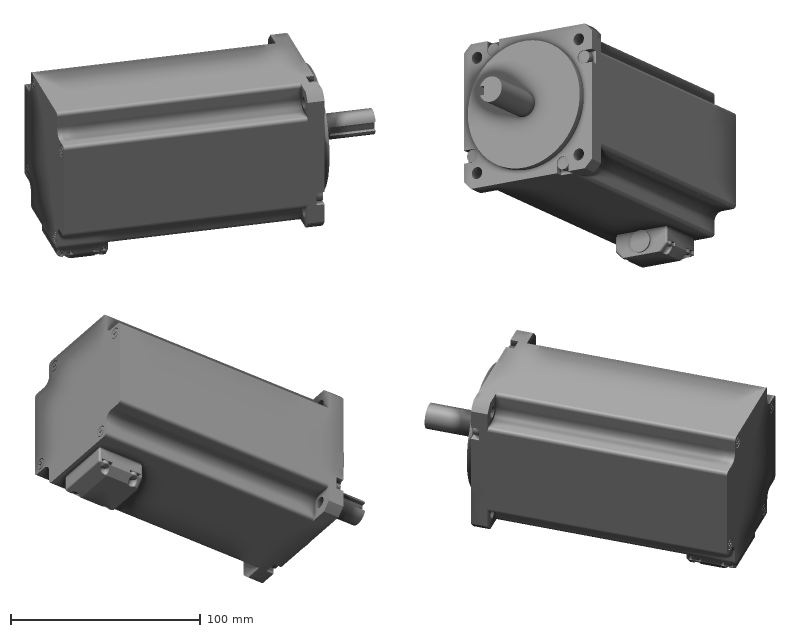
import cadquery as cq
import math


SHAFT_DIAMETER = 14.0
SHAFT_TIP_Y = 37.0
BOSS_DIAMETER = 70.0
BOSS_HEIGHT = 4.0
KEYWAY_LENGTH = 25.0
KEYWAY_WIDTH = 5.0
KEYWAY_DEPTH = 3.0

SIDE = 80.0
HALF_SIDE = SIDE / 2
FLANGE_THICKNESS = 9.3
FLANGE_CORNER_DIAMETER = 107.0
MOUNT_CIRCLE = 90.0
MOUNT_HOLE = 6.5

MOTOR_LENGTH = 143.0
COVER_LENGTH = 32.0
END_PLATE = 3.0
NOTCH = 13.5
NOTCH_RADIUS = 5.0
EDGE_RADIUS = 2.0

SCREW_CIRCLE_RADIUS = 41.0
REAR_SCREW_ANGLE = 32.0
FLANGE_SCREW_ANGLE = 90.0 - REAR_SCREW_ANGLE
FLANGE_SLOT_WIDTH = 7.2
FLANGE_SLOT_RUN = 20.0
FLANGE_SLOT_DEPTH = 4.4
FLANGE_HEAD_DIAMETER = 7.0
FLANGE_HEAD_HEIGHT = 4.0
REAR_RECESS_DIAMETER = 6.5
REAR_HEAD_DIAMETER = 5.5
REAR_HEAD_HEIGHT = 2.0
CROSS_LENGTH = 3.4
CROSS_WIDTH = 0.8
CROSS_DEPTH = 1.2

GASKET_HEIGHT = 1.2
GASKET_INSET = 0.5
CONNECTOR_WIDTH = 32.4
CONNECTOR_BOTTOM_Z = -53.5
CONNECTOR_SIDE_BOTTOM_Z = -49.3
CONNECTOR_EDGE_RADIUS = 1.1
REAR_SLOPE_RUN = 7.5
GLAND_DIAMETER = 12.0
GLAND_LENGTH = 1.1
GLAND_CLEARANCE = 0.2
CONNECTOR_SCREW_X = 13.6
CONNECTOR_SCREW_PITCH = 18.0
CONNECTOR_SCREW_FROM_REAR = 5.1
CONNECTOR_HEAD_DIAMETER = 4.8
CONNECTOR_BORE_DIAMETER = 5.0
CONNECTOR_SLOT_WIDTH = 7.0
CONNECTOR_SLOT_RUN = 8.0
CONNECTOR_SLOT_TOP_Z = -47.2

REAR_Y = -MOTOR_LENGTH
COVER_FRONT_Y = REAR_Y + COVER_LENGTH
PLATE_FRONT_Y = REAR_Y + END_PLATE


def across(y):
    """Workplane across the axis at y: local axes are X and Z, positive extrusions run toward -Y."""
    return cq.Workplane("XZ", origin=(0, y, 0))


def around_circle(first_angle):
    """Four (angle, x, z) places on the screw circle."""
    for step in range(4):
        angle = first_angle + 90 * step
        x = SCREW_CIRCLE_RADIUS * math.cos(math.radians(angle))
        z = SCREW_CIRCLE_RADIUS * math.sin(math.radians(angle))
        yield angle, x, z


def notched_bar(front_y, rear_y):
    """Square bar with a rounded rectangular notch along each corner."""
    length = front_y - rear_y
    bar = across(front_y).rect(SIDE, SIDE).extrude(length)
    corners = across(front_y).rect(SIDE, SIDE, forConstruction=True).vertices()
    bar = bar.cut(corners.rect(2 * NOTCH, 2 * NOTCH).extrude(length))
    core = HALF_SIDE - NOTCH / 2
    inner_edges = cq.selectors.BoxSelector((-core, rear_y, -core), (core, front_y, core))
    bar = bar.edges("|Y").edges(inner_edges).fillet(NOTCH_RADIUS)
    return bar.edges("|Y").edges(-inner_edges).fillet(EDGE_RADIUS)


def make_shaft():
    """Output shaft with a keyway, open at the tip, on its +X side."""
    shaft = across(SHAFT_TIP_Y).circle(SHAFT_DIAMETER / 2).extrude(SHAFT_TIP_Y)
    keyway = (
        across(SHAFT_TIP_Y)
        .center(SHAFT_DIAMETER / 2, 0)
        .rect(2 * KEYWAY_DEPTH, KEYWAY_WIDTH)
        .extrude(KEYWAY_LENGTH)
    )
    return shaft.cut(keyway)


def make_flange():
    """Square flange with rounded corners, mounting holes and four sunk cap screws."""
    flange = across(0).rect(SIDE, SIDE).extrude(FLANGE_THICKNESS)
    flange = flange.intersect(across(0).circle(FLANGE_CORNER_DIAMETER / 2).extrude(FLANGE_THICKNESS))
    holes = across(0).polarArray(MOUNT_CIRCLE / 2, 45, 360, 4).circle(MOUNT_HOLE / 2)
    flange = flange.cut(holes.extrude(FLANGE_THICKNESS))
    for angle, x, z in around_circle(FLANGE_SCREW_ANGLE):
        outward = angle - FLANGE_SCREW_ANGLE + 90
        middle_x = x + FLANGE_SLOT_RUN / 2 * math.cos(math.radians(outward))
        middle_z = z + FLANGE_SLOT_RUN / 2 * math.sin(math.radians(outward))
        slot = (
            across(0)
            .center(middle_x, middle_z)
            .slot2D(FLANGE_SLOT_RUN + FLANGE_SLOT_WIDTH, FLANGE_SLOT_WIDTH, outward)
            .extrude(FLANGE_SLOT_DEPTH)
        )
        head = (
            across(-FLANGE_SLOT_DEPTH + FLANGE_HEAD_HEIGHT)
            .center(x, z)
            .circle(FLANGE_HEAD_DIAMETER / 2)
            .extrude(FLANGE_HEAD_HEIGHT)
        )
        flange = flange.cut(slot).union(head)
    return flange


def make_motor():
    """Shaft, pilot boss, flange and body in one solid."""
    boss = across(BOSS_HEIGHT).circle(BOSS_DIAMETER / 2).extrude(BOSS_HEIGHT)
    body = notched_bar(-FLANGE_THICKNESS, COVER_FRONT_Y)
    return make_flange().union(boss).union(make_shaft()).union(body, clean=False)


def make_cover():
    """Rear cover with its end plate and four cross-head screws sunk flush."""
    housing = notched_bar(COVER_FRONT_Y, PLATE_FRONT_Y)
    plate = notched_bar(PLATE_FRONT_Y, REAR_Y)
    for _, x, z in around_circle(REAR_SCREW_ANGLE):
        gap = (
            across(REAR_Y + REAR_HEAD_HEIGHT)
            .center(x, z)
            .circle(REAR_RECESS_DIAMETER / 2)
            .circle(REAR_HEAD_DIAMETER / 2)
            .extrude(REAR_HEAD_HEIGHT)
        )
        cross = across(REAR_Y + CROSS_DEPTH).center(x, z)
        across_arm = cross.rect(CROSS_LENGTH, CROSS_WIDTH).extrude(CROSS_DEPTH)
        upright_arm = cross.rect(CROSS_WIDTH, CROSS_LENGTH).extrude(CROSS_DEPTH)
        plate = plate.cut(gap).cut(across_arm).cut(upright_arm)
    return housing.union(plate, clean=False)


def make_connector():
    """Connector shell with sloped lower sides, a gasket on top and a round gland in front."""
    gland_face_y = COVER_FRONT_Y
    front_y = gland_face_y - GLAND_LENGTH
    rear_y = PLATE_FRONT_Y
    length = front_y - rear_y
    top_z = -HALF_SIDE - GASKET_HEIGHT
    half_width = CONNECTOR_WIDTH / 2
    lid_height = CONNECTOR_SIDE_BOTTOM_Z - CONNECTOR_BOTTOM_Z

    half_bottom = half_width - lid_height
    shell = (
        across(front_y)
        .polyline([
            (-half_width, top_z),
            (half_width, top_z),
            (half_width, CONNECTOR_SIDE_BOTTOM_Z),
            (half_bottom, CONNECTOR_BOTTOM_Z),
            (-half_bottom, CONNECTOR_BOTTOM_Z),
            (-half_width, CONNECTOR_SIDE_BOTTOM_Z),
        ])
        .close()
        .extrude(length)
    )
    rear_slope = (
        cq.Workplane("YZ")
        .polyline([
            (rear_y, CONNECTOR_SIDE_BOTTOM_Z),
            (rear_y + REAR_SLOPE_RUN, CONNECTOR_BOTTOM_Z),
            (rear_y, CONNECTOR_BOTTOM_Z),
        ])
        .close()
        .extrude(half_width, both=True)
    )
    shell = shell.cut(rear_slope)
    shell = shell.edges("not(#Z and (>Z or <Z))").fillet(CONNECTOR_EDGE_RADIUS)

    slot_height = CONNECTOR_SLOT_TOP_Z - CONNECTOR_SIDE_BOTTOM_Z
    rear_screw_y = rear_y + CONNECTOR_SCREW_FROM_REAR
    for side in (-1, 1):
        for screw_y in (rear_screw_y, rear_screw_y + CONNECTOR_SCREW_PITCH):
            place = cq.Workplane(origin=(side * CONNECTOR_SCREW_X, screw_y, CONNECTOR_SIDE_BOTTOM_Z))
            bore = place.circle(CONNECTOR_BORE_DIAMETER / 2).extrude(-lid_height)
            slot = (
                place.center(side * CONNECTOR_SLOT_RUN / 2, 0)
                .slot2D(CONNECTOR_SLOT_RUN + CONNECTOR_SLOT_WIDTH, CONNECTOR_SLOT_WIDTH)
                .extrude(slot_height)
            )
            head = place.circle(CONNECTOR_HEAD_DIAMETER / 2).extrude(slot_height)
            shell = shell.cut(slot.cut(head)).cut(bore)

    gasket = (
        across(front_y - GASKET_INSET)
        .center(0, -HALF_SIDE - GASKET_HEIGHT / 2)
        .rect(CONNECTOR_WIDTH - 2 * GASKET_INSET, GASKET_HEIGHT)
        .extrude(length - 2 * GASKET_INSET)
        .edges("|Z")
        .fillet(CONNECTOR_EDGE_RADIUS - GASKET_INSET)
    )
    gland_z = -HALF_SIDE - GLAND_DIAMETER / 2 - GLAND_CLEARANCE
    gland = across(gland_face_y).center(0, gland_z).circle(GLAND_DIAMETER / 2).extrude(GLAND_LENGTH)
    return shell.union(gasket).union(gland)


motor = make_motor()
cover = make_cover()
connector = make_connector()
result = cq.Compound.makeCompound([motor.val(), cover.val(), connector.val()])